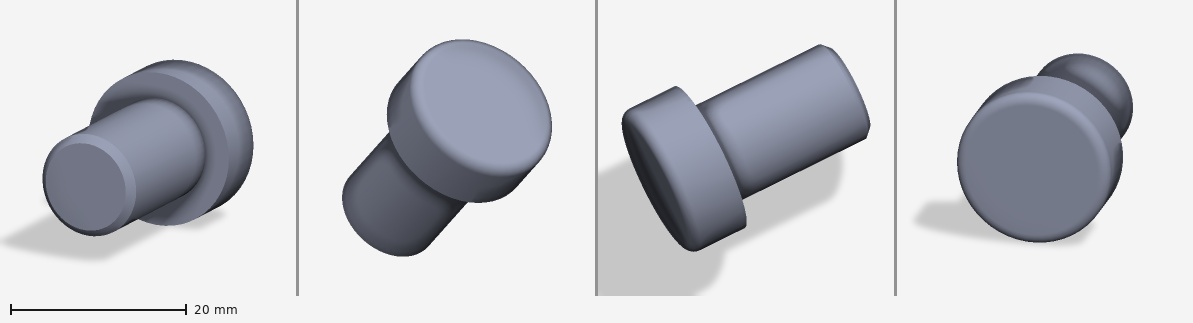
import cadquery as cq

head_diameter = 18.0
head_height = 7.0
head_edge_radius = 1.2

shank_diameter = 12.0
shank_length = 18.0
tip_chamfer = 0.875


def make_head():
    """Cylindrical head with a rounded outer rim on its top face."""
    head = cq.Workplane("XZ").circle(head_diameter / 2).extrude(-head_height)
    return head.faces(">Y").edges().fillet(head_edge_radius)


def make_shank():
    """Plain cylindrical shank with a chamfered tip."""
    shank = cq.Workplane("XZ").circle(shank_diameter / 2).extrude(shank_length)
    return shank.faces("<Y").edges().chamfer(tip_chamfer)


result = make_head().union(make_shank())